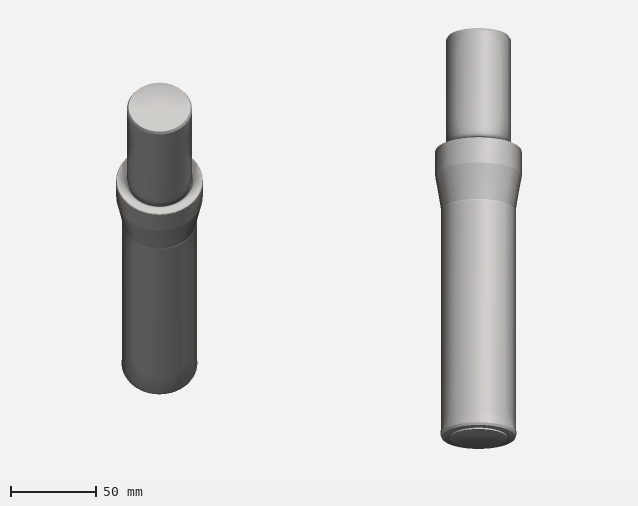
import cadquery as cq

total_length = 248.16
post_bottom_z = -total_length / 2
post_top_z = total_length / 2
post_exposed_length = 70.0
sleeve_end_gap = 0.85
sleeve_top_z = post_top_z - post_exposed_length
sleeve_bottom_z = post_bottom_z + sleeve_end_gap

post_radius = 38.1 / 2
neck_radius = 36.8 / 2
neck_exposed_length = 1.9
neck_chamfer_height = 0.8
top_chamfer_width = 0.9
top_chamfer_height = 1.6
post_end_radius = 33.7 / 2

flange_radius = 50.8 / 2
flange_height = 15.875
body_radius = 44.1 / 2
taper_height = 21.3
taper_end_radius = 43.7 / 2
taper_step_height = 0.7
taper_bow = 0.15
foot_radius = 44.45 / 2
foot_height = 6.75
foot_chamfer_width = 0.6
foot_chamfer_height = 1.5
flange_chamfer = 0.4
bore_mouth_radius = 39.7 / 2


def revolve_about_z(profile):
    return profile.close().revolve(360, (0, 0, 0), (0, 1, 0))


def make_post():
    shoulder_z = sleeve_top_z + neck_exposed_length
    profile = (
        cq.Workplane("XZ")
        .moveTo(0, post_bottom_z)
        .lineTo(post_end_radius, post_bottom_z)
        .lineTo(post_end_radius, sleeve_bottom_z)
        .lineTo(neck_radius, sleeve_bottom_z)
        .lineTo(neck_radius, shoulder_z)
        .lineTo(post_radius, shoulder_z + neck_chamfer_height)
        .lineTo(post_radius, post_top_z - top_chamfer_height)
        .lineTo(post_radius - top_chamfer_width, post_top_z)
        .lineTo(0, post_top_z)
    )
    return revolve_about_z(profile)


def make_sleeve():
    flange_bottom_z = sleeve_top_z - flange_height
    taper_bottom_z = flange_bottom_z - taper_height
    body_top_z = taper_bottom_z - taper_step_height
    taper_middle = (
        (flange_radius + taper_end_radius) / 2 - taper_bow,
        (flange_bottom_z + taper_bottom_z) / 2,
    )
    mouth_depth = bore_mouth_radius - neck_radius
    profile = (
        cq.Workplane("XZ")
        .moveTo(neck_radius, sleeve_bottom_z)
        .lineTo(neck_radius, sleeve_top_z - mouth_depth)
        .lineTo(bore_mouth_radius, sleeve_top_z)
        .lineTo(flange_radius - flange_chamfer, sleeve_top_z)
        .lineTo(flange_radius, sleeve_top_z - flange_chamfer)
        .lineTo(flange_radius, flange_bottom_z)
        .threePointArc(taper_middle, (taper_end_radius, taper_bottom_z))
        .lineTo(body_radius, body_top_z)
        .lineTo(body_radius, sleeve_bottom_z + foot_height)
        .lineTo(foot_radius, sleeve_bottom_z + foot_chamfer_height)
        .lineTo(foot_radius - foot_chamfer_width, sleeve_bottom_z)
    )
    return revolve_about_z(profile)


post = make_post()
sleeve = make_sleeve()

result = cq.Compound.makeCompound([post.val(), sleeve.val()])